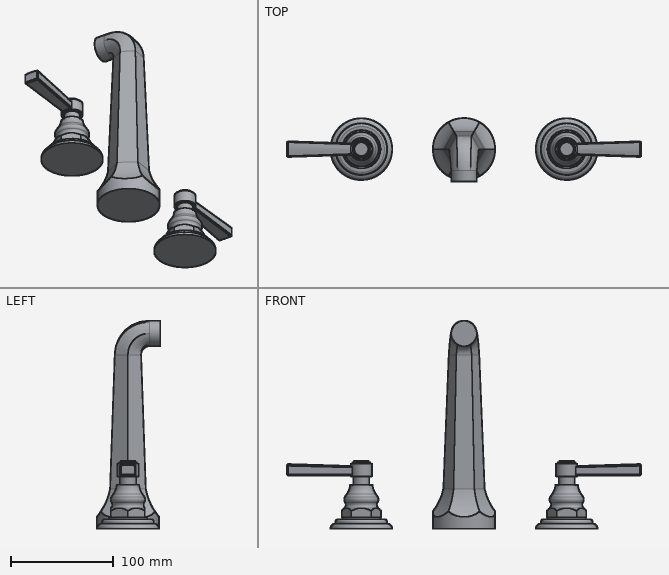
import cadquery as cq
import math

SIDES = 6
SIXTH_TURN = 360 / SIDES
HALF_FACE = math.radians(SIXTH_TURN / 2)

OVERALL_DEPTH = 61.92
BASE_RADIUS = 30.4
BASE_CORNER_HEIGHT = 17.0
BASE_FACE_HEIGHT = 11.6
COLUMN_BOTTOM = 39.0
COLUMN_BOTTOM_APOTHEM = 17.5
COLUMN_TOP_APOTHEM = 12.95
TIP_RADIUS = 12.5
TIP_REACH = OVERALL_DEPTH - BASE_RADIUS
TOTAL_HEIGHT = 202.82
BEND_RADIUS = 20.7
BEND_TURN = 90
BEND_STEPS = 6
OUTLET_HEIGHT = TOTAL_HEIGHT - TIP_RADIUS
COLUMN_TOP = OUTLET_HEIGHT - BEND_RADIUS

OVERALL_WIDTH = 344.78
HANDLE_SPACING = 200.0
LEVER_REACH = (OVERALL_WIDTH - HANDLE_SPACING) / 2

PLATE_RADIUS = 30.2
PLATE_STEP_RADIUS = 25.0
PLATE_ROLL = PLATE_RADIUS - PLATE_STEP_RADIUS
PLATE_TOP_RADIUS = 22.3
PLATE_HEIGHT = 9.5

NUT_BOTTOM = 11.2
NUT_CORNER_RADIUS = 19.2
NUT_SHOULDER = 17.5
NUT_SEAT_RADIUS = 18.7
NUT_TOP = 20.5

NECK_RADIUS = 16.4
WAIST_RADIUS = 15.2
WAIST_HEIGHT = 23.4
BEAD_BOTTOM = 26.0
BEAD_TOP = 31.2
BEAD_EDGE_RADIUS = 16.0
BEAD_RADIUS = 16.8
COVE_BOTTOM_RADIUS = 13.9
COVE_BOTTOM = 34.4
COVE_TOP_RADIUS = 11.0
COVE_TOP = 42.7
COVE_SAG = 0.6

STEM_RADIUS = 7.9
HEAD_BOTTOM = 50.8
HEAD_RADIUS = 10.5
HEAD_RIM = 63.3
CAP_STEP_RADIUS = 8.5
CAP_STEP_BOTTOM = 63.9
CAP_STEP_TOP = 64.7
CAP_RADIUS = 7.2
CAP_BOTTOM = 65.1
CAP_CHAMFER = 0.5
HANDLE_HEIGHT = 66.4
HEAD_CHAMFER = 0.6

LEVER_BOTTOM = 51.9
LEVER_ROOT_WIDTH = 11.2
LEVER_TIP_WIDTH = 15.6
LEVER_ROOT_TOP = 61.2
LEVER_TIP_TOP = 63.3
LEVER_ROOT_CROWN = 0.4
LEVER_TIP_CROWN = 0.9
LEVER_ROOT_REACH = 6.0
LEVER_CHAMFER = 1.1


def hexagon(apothem):
    """Corner points of a hexagon with corners on the X axis."""
    corner = apothem / math.cos(HALF_FACE)
    angles = [math.radians(SIXTH_TURN * i) for i in range(SIDES)]
    return [(corner * math.cos(a), corner * math.sin(a)) for a in angles]


def make_base():
    """Round base under a six-sided concave flare."""
    corner_apothem = BASE_RADIUS * math.cos(HALF_FACE)
    slab = (
        cq.Workplane("YZ")
        .moveTo(-BASE_RADIUS, 0)
        .lineTo(BASE_RADIUS, 0)
        .lineTo(BASE_RADIUS, BASE_FACE_HEIGHT)
        .threePointArc((corner_apothem, BASE_CORNER_HEIGHT), (COLUMN_BOTTOM_APOTHEM, COLUMN_BOTTOM))
        .lineTo(-COLUMN_BOTTOM_APOTHEM, COLUMN_BOTTOM)
        .threePointArc((-corner_apothem, BASE_CORNER_HEIGHT), (-BASE_RADIUS, BASE_FACE_HEIGHT))
        .close()
        .extrude(2 * BASE_RADIUS, both=True)
    )
    base = cq.Workplane("XY").circle(BASE_RADIUS).extrude(COLUMN_BOTTOM)
    for i in range(SIDES // 2):
        base = base.intersect(slab.rotate((0, 0, 0), (0, 0, 1), i * SIXTH_TURN))
    return base


def make_column():
    """Tapered hexagonal column."""
    return (
        cq.Workplane("XY", origin=(0, 0, COLUMN_BOTTOM))
        .polyline(hexagon(COLUMN_BOTTOM_APOTHEM)).close()
        .workplane(offset=COLUMN_TOP - COLUMN_BOTTOM)
        .polyline(hexagon(COLUMN_TOP_APOTHEM)).close()
        .loft(ruled=True, combine=True)
    )


def bend_section(share):
    """Section after a share (0 to 1) of the bend: six sides that swell from flat to round."""
    corner = COLUMN_TOP_APOTHEM / math.cos(HALF_FACE) * (1 - share) + TIP_RADIUS * share
    middle = COLUMN_TOP_APOTHEM * (1 - share) + TIP_RADIUS * share
    edges = []

    def place(radius, angle):
        a = math.radians(angle)
        return cq.Vector(radius * math.cos(a), radius * math.sin(a), COLUMN_TOP)

    for i in range(SIDES):
        start = place(corner, i * SIXTH_TURN)
        crest = place(middle, (i + 0.5) * SIXTH_TURN)
        end = place(corner, (i + 1) * SIXTH_TURN)
        if share == 0:
            edges.append(cq.Edge.makeLine(start, end))
        else:
            edges.append(cq.Edge.makeThreePointArc(start, crest, end))
    axis_start = cq.Vector(0, -BEND_RADIUS, COLUMN_TOP)
    axis_end = cq.Vector(1, -BEND_RADIUS, COLUMN_TOP)
    return cq.Wire.assembleEdges(edges).rotate(axis_start, axis_end, share * BEND_TURN)


def make_bend():
    """Quarter bend from the hexagonal column to the round outlet, facing -Y."""
    sections = [bend_section(i / BEND_STEPS) for i in range(BEND_STEPS + 1)]
    return cq.Workplane(cq.Solid.makeLoft(sections))


def make_outlet():
    """Straight round outlet."""
    return (
        cq.Workplane("XZ", origin=(0, -BEND_RADIUS, OUTLET_HEIGHT))
        .circle(TIP_RADIUS)
        .extrude(TIP_REACH - BEND_RADIUS)
    )


def make_spout():
    """Base, column, bend and outlet in one piece."""
    return make_base().union(make_column()).union(make_bend()).union(make_outlet())


def revolve_profile(profile):
    """Spin a closed (radius, height) profile about the handle axis."""
    return profile.close().revolve(360, (0, 0, 0), (0, 1, 0))


def make_plate():
    """Wall plate with two rounded rolls."""
    diagonal = PLATE_ROLL * math.sqrt(0.5)
    return revolve_profile(
        cq.Workplane("XZ")
        .lineTo(0, PLATE_HEIGHT)
        .lineTo(PLATE_TOP_RADIUS, PLATE_HEIGHT)
        .tangentArcPoint((PLATE_STEP_RADIUS, PLATE_ROLL), relative=False)
        .threePointArc((PLATE_STEP_RADIUS + diagonal, diagonal), (PLATE_RADIUS, 0))
    )


def make_nut():
    """Hexagonal nut on a round seat, its top corners cut back by a cone."""
    seat = (
        cq.Workplane("XY", origin=(0, 0, PLATE_HEIGHT))
        .circle(NUT_SEAT_RADIUS)
        .extrude(NUT_BOTTOM - PLATE_HEIGHT)
    )
    nut = (
        cq.Workplane("XY", origin=(0, 0, NUT_BOTTOM))
        .polyline(hexagon(NUT_CORNER_RADIUS * math.cos(HALF_FACE))).close()
        .extrude(NUT_TOP - NUT_BOTTOM)
    )
    cone = revolve_profile(
        cq.Workplane("XZ")
        .lineTo(NUT_CORNER_RADIUS, 0)
        .lineTo(NUT_CORNER_RADIUS, NUT_SHOULDER)
        .lineTo(NECK_RADIUS, NUT_TOP)
        .lineTo(0, NUT_TOP)
    )
    return seat.union(nut.intersect(cone))


def make_bonnet():
    """Turned waist, bead, cove, stem and head above the nut."""
    bead_middle = (BEAD_BOTTOM + BEAD_TOP) / 2
    cove_middle = ((COVE_BOTTOM_RADIUS + COVE_TOP_RADIUS) / 2 - COVE_SAG, (COVE_BOTTOM + COVE_TOP) / 2)
    return revolve_profile(
        cq.Workplane("XZ")
        .moveTo(0, NUT_TOP)
        .lineTo(NECK_RADIUS, NUT_TOP)
        .threePointArc((WAIST_RADIUS, WAIST_HEIGHT), (BEAD_EDGE_RADIUS, BEAD_BOTTOM))
        .threePointArc((BEAD_RADIUS, bead_middle), (BEAD_EDGE_RADIUS, BEAD_TOP))
        .lineTo(COVE_BOTTOM_RADIUS, COVE_BOTTOM)
        .threePointArc(cove_middle, (COVE_TOP_RADIUS, COVE_TOP))
        .lineTo(STEM_RADIUS, COVE_TOP)
        .lineTo(STEM_RADIUS, HEAD_BOTTOM)
        .lineTo(HEAD_RADIUS - HEAD_CHAMFER, HEAD_BOTTOM)
        .lineTo(HEAD_RADIUS, HEAD_BOTTOM + HEAD_CHAMFER)
        .lineTo(HEAD_RADIUS, HEAD_RIM)
        .lineTo(CAP_STEP_RADIUS, CAP_STEP_BOTTOM)
        .lineTo(CAP_STEP_RADIUS, CAP_STEP_TOP)
        .lineTo(CAP_RADIUS, CAP_BOTTOM)
        .lineTo(CAP_RADIUS, HANDLE_HEIGHT - CAP_CHAMFER)
        .lineTo(CAP_RADIUS - CAP_CHAMFER, HANDLE_HEIGHT)
        .lineTo(0, HANDLE_HEIGHT)
    )


def lever_section(work, width, top, crown):
    """Lever section: flat bottom and sides, crowned top."""
    half = width / 2
    shoulder = top - crown
    return (
        work.moveTo(-half, LEVER_BOTTOM)
        .lineTo(half, LEVER_BOTTOM)
        .lineTo(half, shoulder)
        .threePointArc((0, top), (-half, shoulder))
        .close()
    )


def make_lever():
    """Lever toward +X, wider and taller at its tip."""
    root = cq.Workplane("YZ", origin=(LEVER_ROOT_REACH, 0, 0))
    root = lever_section(root, LEVER_ROOT_WIDTH, LEVER_ROOT_TOP, LEVER_ROOT_CROWN)
    tip = root.workplane(offset=LEVER_REACH - LEVER_ROOT_REACH)
    tip = lever_section(tip, LEVER_TIP_WIDTH, LEVER_TIP_TOP, LEVER_TIP_CROWN)
    lever = tip.loft(ruled=True, combine=True)
    return lever.edges("not(<X)").chamfer(LEVER_CHAMFER)


def make_handle(side):
    """Handle on the given side, lever pointing outward: +1 for +X, -1 for -X."""
    handle = make_plate().union(make_nut()).union(make_bonnet()).union(make_lever())
    if side < 0:
        handle = handle.rotate((0, 0, 0), (0, 0, 1), 180)
    return handle.translate((side * HANDLE_SPACING / 2, 0, 0))


spout = make_spout()
handles = [make_handle(side) for side in (-1, 1)]

result = cq.Compound.makeCompound([spout.val(), *[handle.val() for handle in handles]])